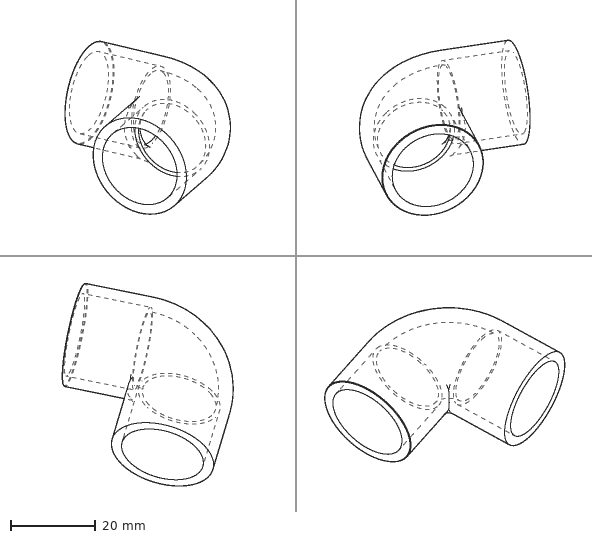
import cadquery as cq
import math

overall_length = 41.0
outer_diameter = 25.0
socket_diameter = 20.0
bore_diameter = 18.0
socket_length = 16.55
rim_chamfer = 0.15

outer_radius = outer_diameter / 2
axis_offset = overall_length - outer_radius
bend_radius = axis_offset - socket_length



def leg_along_x(diameter):
    """Straight cylinder of the leg that opens toward -X."""
    return (
        cq.Workplane("YZ", origin=(-socket_length, bend_radius, 0))
        .circle(diameter / 2)
        .extrude(socket_length)
    )


def leg_along_y(diameter):
    """Straight cylinder of the leg that opens toward -Y."""
    return (
        cq.Workplane("XZ", origin=(bend_radius, 0, 0))
        .circle(diameter / 2)
        .extrude(socket_length)
    )


def bend(diameter):
    """Quarter turn of a round section, cut off where it would cross the turning axis."""
    radius = diameter / 2
    if radius < bend_radius:
        profile = cq.Workplane("XZ").center(bend_radius, 0).circle(radius)
        return profile.revolve(90, (-bend_radius, 0), (-bend_radius, 1))
    half_chord = math.sqrt(radius**2 - bend_radius**2)
    profile = (
        cq.Workplane("XZ")
        .moveTo(0, -half_chord)
        .threePointArc((bend_radius + radius, 0), (0, half_chord))
        .close()
    )
    turned = profile.revolve(90, (0, 0), (0, 1))
    return cq.Workplane(turned.val().toNURBS())


body_x = leg_along_x(outer_diameter).faces("<X").chamfer(rim_chamfer)
body = body_x.union(leg_along_y(outer_diameter)).union(bend(outer_diameter))

sockets = leg_along_x(socket_diameter).union(leg_along_y(socket_diameter))

result = body.cut(bend(bore_diameter)).cut(sockets)